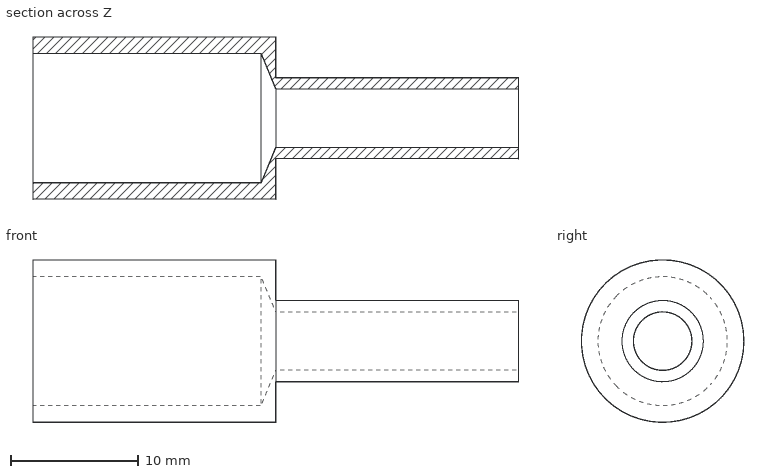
import cadquery as cq
import math

total_length = 38.1
shoulder_x = total_length / 2

body_diameter = 12.75
stem_diameter = body_diameter / 2
socket_diameter = 10.15
passage_diameter = 4.57

cone_angle = 135.0
cone_length = (socket_diameter - passage_diameter) / 2 / math.tan(math.radians(cone_angle / 2))
cone_end_x = shoulder_x
socket_depth = cone_end_x - cone_length


def outer_shape():
    """Solid body with a thinner stem, stepped at the shoulder."""
    body = cq.Workplane("YZ").circle(body_diameter / 2).extrude(shoulder_x)
    stem = cq.Workplane("YZ").circle(stem_diameter / 2).extrude(total_length)
    return body.union(stem)


def stepped_bore():
    """Socket, cone and through passage, revolved about the X axis."""
    profile = (
        cq.Workplane("XY")
        .lineTo(0, socket_diameter / 2)
        .lineTo(socket_depth, socket_diameter / 2)
        .lineTo(cone_end_x, passage_diameter / 2)
        .lineTo(total_length, passage_diameter / 2)
        .lineTo(total_length, 0)
        .close()
    )
    return profile.revolve(360, (0, 0, 0), (1, 0, 0))


result = outer_shape().cut(stepped_bore())